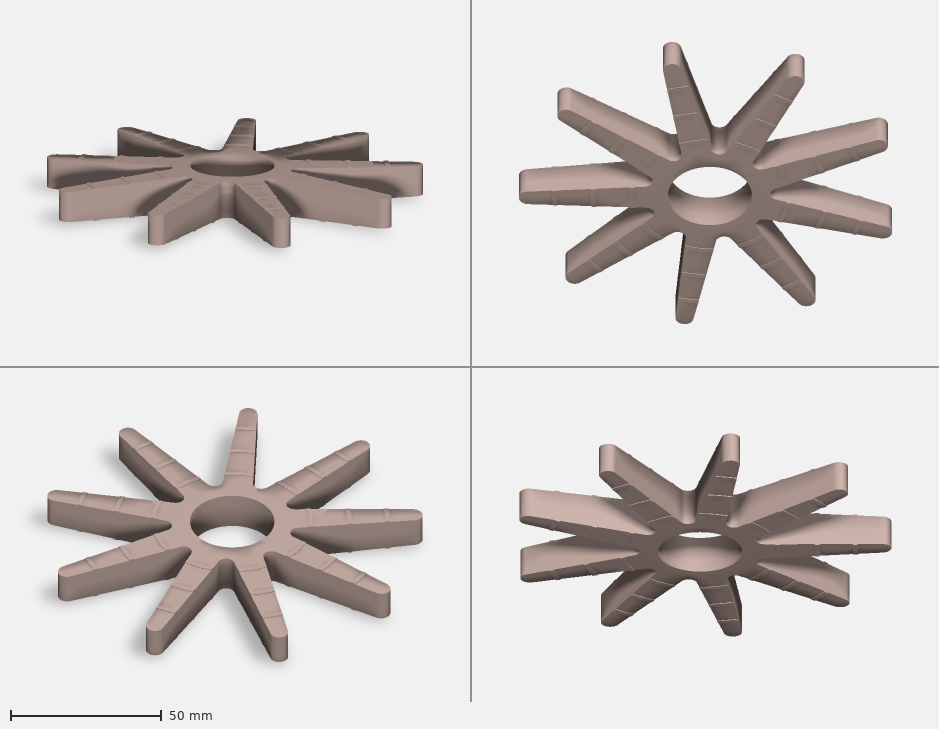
import cadquery as cq
import math

overall_width = 125.2
finger_count = 9
finger_pitch = 360.0 / finger_count
widest_finger_angle = 10.0

bore_radius = 14.0
half_thickness = 12.6 / 2
collar_radius = 16.9
valley_radius = 2.8
hub_span = 25.0

tip_radius = 3.0
flank_angle = math.radians(3.0)
tip_center = (overall_width / 2 - tip_radius) / math.cos(math.radians(widest_finger_angle))
finger_reach = tip_center + tip_radius
envelope_radius = finger_reach + tip_radius

face_slope = math.tan(math.radians(1.5))
band_inner_radii = (25.4, 38.2, 50.8)
band_width = 1.6
band_height = 0.3


def finger():
    """One tapered finger along +X, with its round tip tangent to both flanks."""
    tangent_x = tip_center + tip_radius * math.sin(flank_angle)
    tangent_y = tip_radius * math.cos(flank_angle)
    root_y = tangent_y + tangent_x * math.tan(flank_angle)
    return (
        cq.Workplane("XY")
        .moveTo(0, -root_y)
        .lineTo(tangent_x, -tangent_y)
        .threePointArc((finger_reach, 0), (tangent_x, tangent_y))
        .lineTo(0, root_y)
        .close()
        .extrude(half_thickness, both=True)
    )


def star():
    """All fingers joined, with the sharp valleys between them rounded."""
    body = cq.Workplane("XY")
    for index in range(finger_count):
        angle = widest_finger_angle + index * finger_pitch
        body = body.union(finger().rotate((0, 0, 0), (0, 0, 1), angle))
    valley_zone = cq.selectors.BoxSelector(
        (-hub_span, -hub_span, -half_thickness),
        (hub_span, hub_span, half_thickness),
    )
    return body.edges("|Z").edges(valley_zone).fillet(valley_radius)


def face_height(radius):
    """Height of the conical face above mid-plane."""
    return half_thickness - (radius - collar_radius) * face_slope


def face_envelope():
    """Revolved ring: flat collar, cone falling outward, flat bands standing on the cone."""
    upper = [(bore_radius, half_thickness), (collar_radius, half_thickness)]
    for inner in band_inner_radii:
        outer = inner + band_width
        top = face_height(inner) + band_height
        upper += [(inner, face_height(inner)), (inner, top), (outer, top), (outer, face_height(outer))]
    upper.append((envelope_radius, face_height(envelope_radius)))
    lower = [(radius, -height) for radius, height in reversed(upper)]
    return cq.Workplane("XZ").polyline(upper + lower).close().revolve(360, (0, 0, 0), (0, 1, 0))


result = star().intersect(face_envelope())